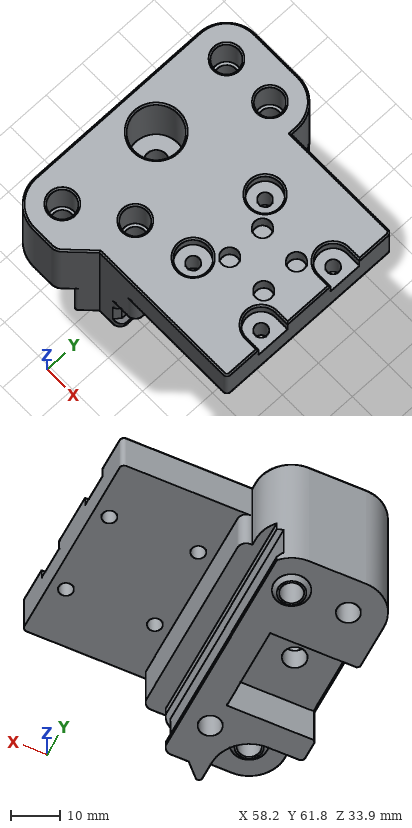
import cadquery as cq
import math

LENGTH = 58.2
WIDTH = 61.75
HEIGHT = 33.85
EDGE_CHAMFER = 0.4
RAIL_MOUTH_CHAMFER = 0.5

SPACER_HEIGHT = 1.0
PLATE_THICKNESS = 10.0
base_z = SPACER_HEIGHT
plate_z = HEIGHT - PLATE_THICKNESS
step_z = plate_z - PLATE_THICKNESS
PULLEY_CEILING_Z = 12.85

CORNER_RADIUS = 8.0
ARM_HOLE_X = 20.8
PLATE_FRONT_Y = 6.3
PLATE_BACK_Y = 52.1
PLATE_CORNER_RADIUS = 1.0
CHAMFER_START_RADIUS = 3.0
back_hole_y = WIDTH - CORNER_RADIUS
arm_end_x = ARM_HOLE_X + CORNER_RADIUS
chamfer_start_x = ARM_HOLE_X - PLATE_FRONT_Y

STEP_END_X = 31.25
BLOCK_END_X = 26.75
BLOCK_FILLET = 2.0

GROOVE_BOTTOM_Z = 2.2
GROOVE_TOP_Z = 11.8
GROOVE_FLANK_RISE = 1.65
GROOVE_DEPTH = 1.05
GROOVE_MOUTH_RUN = 1.55

PULLEY_RECESS_RADIUS = 8.45
RECESS_SIDE_FILLET = 1.0
RECESS_TIP_FILLET = 0.75

RAIL_SIZE = 20.0
RAIL_Y = 32.2
rail_top_z = base_z + RAIL_SIZE / 2

RAIL_BOLT_X = 9.75
RAIL_BOLT_Y = 32.55
RAIL_BOLT_BORE = 12.0
RAIL_BOLT_HOLE = 5.2
RAIL_BOLT_SEAT = 6.0

FRAME_HOLE = 5.05
FRAME_BORE = 6.5
FRAME_BORE_DEPTH = 10.0
FRAME_SIDE_HOLE_Y = 16.25
SPACER_FOOT_DIAMETER = 6.0
spacer_top_diameter = SPACER_FOOT_DIAMETER + 2 * SPACER_HEIGHT

SCREW_SPACING = 20.0
PATTERN_CENTER = (44.7, 29.2)
SCREW_HOLE = 3.2
SCREW_BORE = 8.0
SCREW_BORE_DEPTH = 3.0

POCKET_SPACING_X = 10.0
POCKET_SPACING_Y = 9.15
POCKET_DIAMETER = 4.3
POCKET_DEPTH = 4.0

OVERRUN = 6.2


def box(x_range, y_range, z_range):
    """Axis-aligned block given by its limits."""
    size = [high - low for low, high in (x_range, y_range, z_range)]
    corner = (x_range[0], y_range[0], z_range[0])
    return cq.Workplane("XY").box(*size, centered=False).translate(corner)


def vertical_edge(x, y, z):
    """Selector for the edge whose middle is nearest to the given point."""
    return cq.selectors.NearestToPointSelector((x, y, z))


def make_body():
    """Outline at full height with its top edge chamfered."""
    diagonal = CORNER_RADIUS * math.sqrt(0.5)
    outline = (
        cq.Workplane("XY", origin=(0, 0, base_z))
        .moveTo(CORNER_RADIUS, 0)
        .lineTo(chamfer_start_x, 0)
        .lineTo(ARM_HOLE_X, PLATE_FRONT_Y)
        .lineTo(LENGTH, PLATE_FRONT_Y)
        .lineTo(LENGTH, PLATE_BACK_Y)
        .lineTo(arm_end_x, PLATE_BACK_Y)
        .lineTo(arm_end_x, back_hole_y)
        .threePointArc((ARM_HOLE_X + diagonal, back_hole_y + diagonal), (ARM_HOLE_X, WIDTH))
        .lineTo(CORNER_RADIUS, WIDTH)
        .threePointArc((CORNER_RADIUS - diagonal, back_hole_y + diagonal), (0, back_hole_y))
        .lineTo(0, CORNER_RADIUS)
        .threePointArc((CORNER_RADIUS - diagonal, CORNER_RADIUS - diagonal), (CORNER_RADIUS, 0))
        .close()
    )
    body = outline.extrude(HEIGHT - base_z)
    middle_z = (base_z + HEIGHT) / 2
    body = body.edges(vertical_edge(chamfer_start_x, 0, middle_z)).fillet(CHAMFER_START_RADIUS)
    for y in (PLATE_FRONT_Y, PLATE_BACK_Y):
        body = body.edges(vertical_edge(LENGTH, y, middle_z)).fillet(PLATE_CORNER_RADIUS)
    return body.faces(">Z").edges().chamfer(EDGE_CHAMFER)


def cut_steps(body):
    """Free the underside of the plate, leaving two stepped blocks on the -X side."""
    past_x = LENGTH + OVERRUN
    all_y = (-OVERRUN, WIDTH + OVERRUN)
    body = body.cut(box((STEP_END_X, past_x), all_y, (0, plate_z)))
    body = body.cut(box((BLOCK_END_X, past_x), all_y, (0, step_z)))
    step_middle_z = (step_z + plate_z) / 2
    for y in (PLATE_FRONT_Y, PLATE_BACK_Y):
        body = body.edges(vertical_edge(STEP_END_X, y, step_middle_z)).fillet(BLOCK_FILLET)
    block_middle_z = (base_z + step_z) / 2
    return body.edges(vertical_edge(BLOCK_END_X, PLATE_FRONT_Y, block_middle_z)).fillet(BLOCK_FILLET)


def make_groove():
    """Groove with sloping flanks along Y, deepening towards its -Y end."""
    mouth_x = BLOCK_END_X - BLOCK_FILLET
    floor_x = BLOCK_END_X - GROOVE_DEPTH
    flanks = (
        cq.Workplane("XZ")
        .polyline([
            (BLOCK_END_X, GROOVE_BOTTOM_Z),
            (mouth_x, GROOVE_BOTTOM_Z + GROOVE_FLANK_RISE),
            (mouth_x, GROOVE_TOP_Z - GROOVE_FLANK_RISE),
            (BLOCK_END_X, GROOVE_TOP_Z),
        ])
        .close()
        .extrude(-WIDTH)
    )
    plan = (
        cq.Workplane("XY")
        .polyline([
            (mouth_x, PLATE_FRONT_Y),
            (floor_x, PLATE_FRONT_Y + GROOVE_MOUTH_RUN),
            (floor_x, WIDTH),
            (BLOCK_END_X, WIDTH),
            (BLOCK_END_X, PLATE_FRONT_Y),
        ])
        .close()
        .extrude(step_z)
    )
    return flanks.intersect(plan)


def cut_pulley_recess(body):
    """Recess round the front left pulley, open to the front, the -X side and below."""
    side_y = CORNER_RADIUS + PULLEY_RECESS_RADIUS
    end_x = CORNER_RADIUS + PULLEY_RECESS_RADIUS
    diagonal = CORNER_RADIUS + PULLEY_RECESS_RADIUS * math.sqrt(0.5)
    recess = (
        cq.Workplane("XY")
        .moveTo(-OVERRUN, -OVERRUN)
        .lineTo(-OVERRUN, side_y)
        .lineTo(CORNER_RADIUS, side_y)
        .threePointArc((diagonal, diagonal), (end_x, CORNER_RADIUS))
        .lineTo(end_x, -OVERRUN)
        .close()
        .extrude(PULLEY_CEILING_Z)
    )
    body = body.cut(recess)
    middle_z = (base_z + PULLEY_CEILING_Z) / 2
    tip_y = end_x - chamfer_start_x
    body = body.edges(vertical_edge(0, side_y, middle_z)).fillet(RECESS_SIDE_FILLET)
    return body.edges(vertical_edge(end_x, tip_y, middle_z)).fillet(RECESS_TIP_FILLET)


def make_rail_slot():
    """Blind slot for the rail, open below, with a chamfered mouth on the -X face."""
    half = RAIL_SIZE / 2
    slot = box((0, RAIL_SIZE), (RAIL_Y - half, RAIL_Y + half), (0, rail_top_z))
    mouth = (
        cq.Workplane("YZ")
        .center(RAIL_Y, 0)
        .rect(RAIL_SIZE + 2 * RAIL_MOUTH_CHAMFER, 2 * (rail_top_z + RAIL_MOUTH_CHAMFER))
        .workplane(offset=RAIL_MOUTH_CHAMFER)
        .rect(RAIL_SIZE, 2 * rail_top_z)
        .loft(ruled=True)
    )
    return slot.union(mouth)


def cone(x, y, z, lower_diameter, upper_diameter, height):
    """Upright cone frustum standing at the given point."""
    return (
        cq.Workplane("XY", origin=(x, y, z))
        .circle(lower_diameter / 2)
        .workplane(offset=height)
        .circle(upper_diameter / 2)
        .loft(ruled=True)
    )


def cylinder(x, y, z, diameter, height):
    """Upright cylinder standing at the given point."""
    return cq.Workplane("XY", origin=(x, y, z)).circle(diameter / 2).extrude(height)


def make_bolt_hole(x, y, hole, bore, bore_depth):
    """Through hole with a counterbore from the top and a chamfered rim."""
    through = cylinder(x, y, 0, hole, HEIGHT)
    seat = cylinder(x, y, HEIGHT - bore_depth, bore, bore_depth)
    rim = cone(x, y, HEIGHT - EDGE_CHAMFER, bore, bore + 2 * EDGE_CHAMFER, EDGE_CHAMFER)
    return through.union(seat).union(rim)


def make_bore_exit(y):
    """Channel that opens a screw counterbore through the +X side, with chamfered rims."""
    depth_z = HEIGHT - SCREW_BORE_DEPTH
    rim_z = HEIGHT - EDGE_CHAMFER
    half = SCREW_BORE / 2
    return (
        cq.Workplane("YZ", origin=(screw_end_x, y, 0))
        .polyline([
            (-half, depth_z),
            (half, depth_z),
            (half, rim_z),
            (half + EDGE_CHAMFER, HEIGHT),
            (-half - EDGE_CHAMFER, HEIGHT),
            (-half, rim_z),
        ])
        .close()
        .extrude(LENGTH - screw_end_x)
    )


result = cut_pulley_recess(cut_steps(make_body()))
result = result.cut(make_groove()).cut(make_rail_slot())

pulley_bolts = (
    (CORNER_RADIUS, CORNER_RADIUS, PULLEY_CEILING_Z),
    (ARM_HOLE_X, back_hole_y, base_z),
)
for x, y, top_z in pulley_bolts:
    spacer = cone(x, y, top_z - SPACER_HEIGHT, SPACER_FOOT_DIAMETER, spacer_top_diameter, SPACER_HEIGHT)
    result = result.union(spacer)

frame_bolts = (
    (CORNER_RADIUS, CORNER_RADIUS),
    (CORNER_RADIUS, back_hole_y),
    (ARM_HOLE_X, back_hole_y),
    (ARM_HOLE_X, FRAME_SIDE_HOLE_Y),
)
for x, y in frame_bolts:
    result = result.cut(make_bolt_hole(x, y, FRAME_HOLE, FRAME_BORE, FRAME_BORE_DEPTH))

rail_bore_depth = HEIGHT - rail_top_z - RAIL_BOLT_SEAT
rail_bolt = make_bolt_hole(RAIL_BOLT_X, RAIL_BOLT_Y, RAIL_BOLT_HOLE, RAIL_BOLT_BORE, rail_bore_depth)
result = result.cut(rail_bolt)

screw_start_x = PATTERN_CENTER[0] - SCREW_SPACING / 2
screw_end_x = screw_start_x + SCREW_SPACING
for y in (PATTERN_CENTER[1] - SCREW_SPACING / 2, PATTERN_CENTER[1] + SCREW_SPACING / 2):
    for x in (screw_start_x, screw_end_x):
        result = result.cut(make_bolt_hole(x, y, SCREW_HOLE, SCREW_BORE, SCREW_BORE_DEPTH))
    result = result.cut(make_bore_exit(y))

for side_x in (-0.5, 0.5):
    for side_y in (-0.5, 0.5):
        x = PATTERN_CENTER[0] + side_x * POCKET_SPACING_X
        y = PATTERN_CENTER[1] + side_y * POCKET_SPACING_Y
        result = result.cut(cylinder(x, y, HEIGHT - POCKET_DEPTH, POCKET_DIAMETER, POCKET_DEPTH))